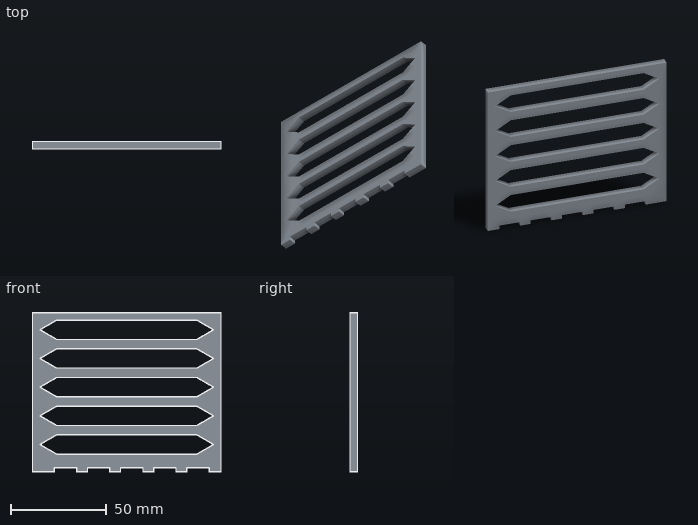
import cadquery as cq
import math

width = 98.5
thickness = 4.0
height = 83.2

frame_margin = 4.0
window_count = 5
window_height = 9.9
window_pitch = 15.0
end_slope = 30.0

notch_count = 5
notch_width = 11.5
notch_depth = 2.1
tooth_width = notch_width / 2
first_notch_start = notch_width


def pointed_window(center_z):
    """Cutter through the thickness for one window, centred on X = 0."""
    half_height = window_height / 2
    tip_x = width / 2 - frame_margin
    shoulder_x = tip_x - half_height / math.tan(math.radians(end_slope))
    outline = [
        (-tip_x, center_z),
        (-shoulder_x, center_z + half_height),
        (shoulder_x, center_z + half_height),
        (tip_x, center_z),
        (shoulder_x, center_z - half_height),
        (-shoulder_x, center_z - half_height),
    ]
    return cq.Workplane("XZ").polyline(outline).close().extrude(thickness / 2, both=True)


def edge_notch(start_x):
    """Cutter for one notch, starting at start_x on the bottom edge."""
    notch = cq.Workplane("XY").box(notch_width, thickness, notch_depth, centered=(False, True, False))
    return notch.translate((start_x, 0, -height / 2))


result = cq.Workplane("XY").box(width, thickness, height)

top_window_z = height / 2 - frame_margin - window_height / 2
for i in range(window_count):
    result = result.cut(pointed_window(top_window_z - i * window_pitch))

for i in range(notch_count):
    notch_start = -width / 2 + first_notch_start + i * (notch_width + tooth_width)
    result = result.cut(edge_notch(notch_start))